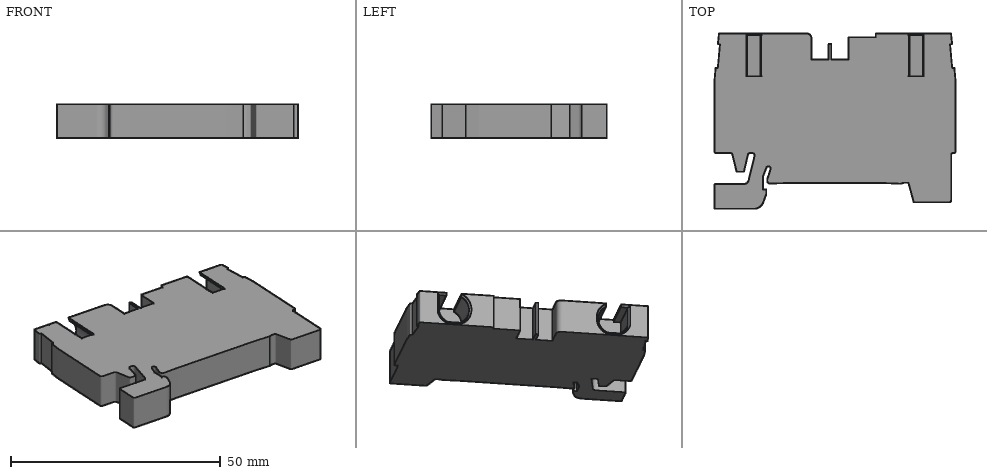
import cadquery as cq
import math

LENGTH = 57.7
HEIGHT = 42.0
THICKNESS = 8.1

TOP = HEIGHT / 2
BOTTOM = -HEIGHT / 2
SHOULDER = 9.6
SHOULDER_STEP = 12.75
EAR_BARB = 18.35
RIB_TOP = 18.45
RECESS_FLOOR = 14.8
LOW_TOP = 20.1
SIDE_END = -7.7
TOOTH_TIP = -12.1
SLIT_END = -10.85
RAIL_SEAT = -14.85
SEAT_END = -15.0
SEAT_RELIEF = -14.8
LEG_END = -19.45
SLIT_BEND = -13.25
HOOK = -16.35
FOOT_NOSE = -17.4

SIDE = LENGTH / 2
SHOULDER_HALF = 28.55
EAR_HALF = 28.05
NECK_HALF = 27.5
EAR_TOP_HALF = 27.75
RECESS_LEFT = -5.6
RECESS_RIGHT = 3.2
RIB_LEFT = -1.55
RIB_RIGHT = -0.85
LOW_TOP_END = 9.7
LEG_RIGHT = 27.8
SEAT_HALF_LENGTH = 11.55
SEAT_RIGHT_END = 15.7
RELIEF_START = 16.45
LEG_ROOT = 17.55
LEG_TIP_LEFT = 18.8
SLIT_MOUTH = -16.55
SLIT_END_LEFT = -16.3
SLIT_END_RIGHT = -15.25
HOOK_TIP = -16.4
HOOK_ROOT = -17.2
FOOT_TOE = -17.7
FOOT_BEND = -20.9
CLIP_SLOT_LEFT = -20.7
CLIP_SLOT_RIGHT = -19.1
TOOTH_TIP_LEFT = -23.55
TOOTH_TIP_RIGHT = -21.75
TOOTH_ROOT = -24.65

SMALL_ROUND = 0.2
CORNER_ROUND = 0.3
SIDE_ROUND = 0.45
LEG_ROUND = 0.6
SLIT_ROUND = 0.45
SLOT_ROUND = 0.5
SLIT_MOUTH_ROUND = 0.8
FOOT_BEND_ROUND = 1.05
FOOT_ROUND = 2.4
RECESS_ROUND = 1.25

SHAFT_X = 19.4
SHAFT_RADIUS = 3.7
SHAFT_AXIS_HEIGHT = 4.15
SHAFT_WALL = 3.5
SHAFT_DEPTH = 10.25
SHAFT_CHAMFER = 0.5
FLAT_HALF_WIDTH = 1.55
SLOT_WIDTH = 3.6
RIM_MARGIN = 0.05


def ear(side):
    """Corners of one upper shoulder and ear, from the straight side up; side is -1 or +1."""
    return [
        (side * SIDE, SHOULDER, 0),
        (side * SHOULDER_HALF, SHOULDER_STEP, SMALL_ROUND),
        (side * EAR_HALF, SHOULDER_STEP, 0),
        (side * NECK_HALF, EAR_BARB, 0),
        (side * EAR_HALF, EAR_BARB, CORNER_ROUND),
        (side * EAR_TOP_HALF, TOP, CORNER_ROUND),
    ]


def top_edge():
    """Corners of the central recess with its rib, from left to right."""
    return [
        (RECESS_LEFT, TOP, RECESS_ROUND),
        (RECESS_LEFT, RECESS_FLOOR, 0),
        (RIB_LEFT, RECESS_FLOOR, 0),
        (RIB_LEFT, RIB_TOP, SMALL_ROUND),
        (RIB_RIGHT, RIB_TOP, 0),
        (RIB_RIGHT, RECESS_FLOOR, 0),
        (RECESS_RIGHT, RECESS_FLOOR, 0),
        (RECESS_RIGHT, LOW_TOP, CORNER_ROUND),
        (LOW_TOP_END, LOW_TOP, 0),
        (LOW_TOP_END, TOP, CORNER_ROUND),
    ]


def leg_and_seat():
    """Corners from the right side around the fixed leg and along the rail seat."""
    return [
        (SIDE, SIDE_END, SIDE_ROUND),
        (LEG_RIGHT, SIDE_END, CORNER_ROUND),
        (LEG_RIGHT, LEG_END, LEG_ROUND),
        (LEG_TIP_LEFT, LEG_END, SMALL_ROUND),
        (LEG_ROOT, SEAT_RELIEF, CORNER_ROUND),
        (RELIEF_START, SEAT_RELIEF, 0),
        (SEAT_RIGHT_END, SEAT_END, 0),
        (SEAT_HALF_LENGTH, RAIL_SEAT, 0),
        (-SEAT_HALF_LENGTH, RAIL_SEAT, 0),
        (SLIT_MOUTH, SEAT_END, SLIT_MOUTH_ROUND),
    ]


def spring_foot():
    """Corners of the slit, the hooked foot, the clip slot and the tooth above it."""
    return [
        (SLIT_END_RIGHT, SLIT_END, SLIT_ROUND),
        (SLIT_END_LEFT, SLIT_END, SLIT_ROUND),
        (HOOK_ROOT, SLIT_BEND, 0),
        (HOOK_ROOT, HOOK, 0),
        (HOOK_TIP, HOOK, 0),
        (HOOK_TIP, FOOT_NOSE, LEG_ROUND),
        (FOOT_TOE, BOTTOM, FOOT_ROUND),
        (-SIDE, BOTTOM, CORNER_ROUND),
        (-SIDE, SEAT_END, CORNER_ROUND),
        (FOOT_BEND, SEAT_END, FOOT_BEND_ROUND),
        (CLIP_SLOT_RIGHT, SIDE_END, SLOT_ROUND),
        (CLIP_SLOT_LEFT, SIDE_END, SLOT_ROUND),
        (TOOTH_TIP_RIGHT, TOOTH_TIP, CORNER_ROUND),
        (TOOTH_TIP_LEFT, TOOTH_TIP, SMALL_ROUND),
        (TOOTH_ROOT, SIDE_END, SIDE_ROUND),
        (-SIDE, SIDE_END, SIDE_ROUND),
    ]


def rounded_outline(corners):
    """Closed wire through (x, y, radius) corners, each rounded by a tangent arc."""
    edges = []
    pen = None
    first = None
    count = len(corners)
    for i, (x, y, radius) in enumerate(corners):
        corner = cq.Vector(x, y)
        before = cq.Vector(*corners[i - 1][:2])
        after = cq.Vector(*corners[(i + 1) % count][:2])
        back = (before - corner).normalized()
        ahead = (after - corner).normalized()
        half_angle = back.getAngle(ahead) / 2
        setback = radius / math.tan(half_angle)
        start = corner + back * setback
        end = corner + ahead * setback
        if pen is None:
            first = start
        else:
            edges.append(cq.Edge.makeLine(pen, start))
        if radius > 0:
            gap = radius / math.sin(half_angle) - radius
            middle = corner + (back + ahead).normalized() * gap
            edges.append(cq.Edge.makeThreePointArc(start, middle, end))
        pen = end
    edges.append(cq.Edge.makeLine(pen, first))
    return cq.Wire.assembleEdges(edges)


def housing():
    """Flat plate with the full outline."""
    corners = ear(-1) + top_edge() + ear(1)[::-1] + leg_and_seat() + spring_foot()
    plate = cq.Solid.extrudeLinear(rounded_outline(corners), [], cq.Vector(0, 0, THICKNESS))
    return cq.Workplane(plate)


def shaft(side):
    """Blind shaft along Y: round with a flat floor and roof, its outer side squared above the axis."""
    flat_offset = math.sqrt(SHAFT_RADIUS**2 - FLAT_HALF_WIDTH**2)
    wall_drop = math.sqrt(SHAFT_RADIUS**2 - SHAFT_WALL**2)
    lower_arc = (math.atan2(wall_drop, SHAFT_WALL) + math.atan2(flat_offset, FLAT_HALF_WIDTH)) / 2

    def at(outward, up):
        return (side * (SHAFT_X + outward), SHAFT_AXIS_HEIGHT + up)

    profile = (
        cq.Workplane("XZ", origin=(0, TOP, 0))
        .moveTo(*at(-FLAT_HALF_WIDTH, -flat_offset))
        .threePointArc(at(-SHAFT_RADIUS, 0), at(-FLAT_HALF_WIDTH, flat_offset))
        .lineTo(*at(SHAFT_WALL, flat_offset))
        .lineTo(*at(SHAFT_WALL, -wall_drop))
        .threePointArc(
            at(SHAFT_RADIUS * math.cos(lower_arc), -SHAFT_RADIUS * math.sin(lower_arc)),
            at(FLAT_HALF_WIDTH, -flat_offset),
        )
        .close()
    )
    return profile.extrude(SHAFT_DEPTH)


def shaft_mouth_edges(side):
    """Selector for the rim of a shaft on the top edge."""
    low = (side * SHAFT_X - SHAFT_RADIUS - RIM_MARGIN, TOP - RIM_MARGIN, RIM_MARGIN)
    high = (side * SHAFT_X + SHAFT_RADIUS + RIM_MARGIN, TOP + RIM_MARGIN, THICKNESS - RIM_MARGIN)
    return cq.selectors.BoxSelector(low, high)


def slot(side):
    """Opening from the +Z face down into the shaft."""
    cut_depth = THICKNESS - SHAFT_AXIS_HEIGHT
    return (
        cq.Workplane("XY", origin=(side * SHAFT_X, TOP - SHAFT_DEPTH, SHAFT_AXIS_HEIGHT))
        .box(SLOT_WIDTH, SHAFT_DEPTH, cut_depth, centered=(True, False, False))
    )


result = housing()
for side in (-1, 1):
    result = result.cut(shaft(side))
    result = result.edges(shaft_mouth_edges(side)).chamfer(SHAFT_CHAMFER)
    result = result.cut(slot(side))